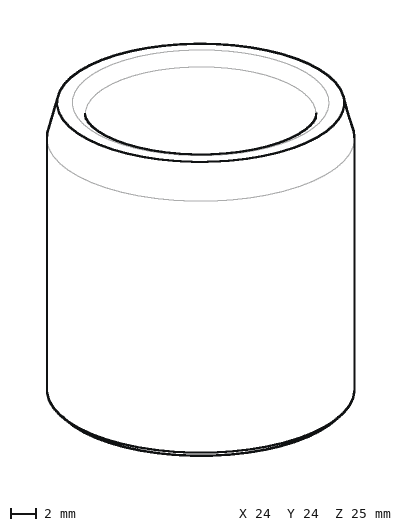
import cadquery as cq
import math

outer_diameter = 24.0
bore_diameter = 18.0
length = 25.0
lead_in_length = 3.0
lead_in_angle = 15.0
bottom_chamfer = 0.5
bore_mouth_radius = 1.0

outer_radius = outer_diameter / 2
bore_radius = bore_diameter / 2
lead_in_depth = lead_in_length * math.tan(math.radians(lead_in_angle))


def bushing_body():
    """Revolve the wall section, with its tapered top and chamfered bottom, about Z."""
    wall_section = (
        cq.Workplane("XZ")
        .moveTo(bore_radius, 0)
        .lineTo(outer_radius - bottom_chamfer, 0)
        .lineTo(outer_radius, bottom_chamfer)
        .lineTo(outer_radius, length - lead_in_length)
        .lineTo(outer_radius - lead_in_depth, length)
        .lineTo(bore_radius, length)
        .close()
    )
    return wall_section.revolve(360, (0, 0, 0), (0, 1, 0))


def round_bore_mouth(body):
    """Round the inner edge of the top face, where the bore opens."""
    bore_edge = cq.selectors.RadiusNthSelector(0)
    return body.faces(">Z").edges(bore_edge).fillet(bore_mouth_radius)


result = round_bore_mouth(bushing_body())